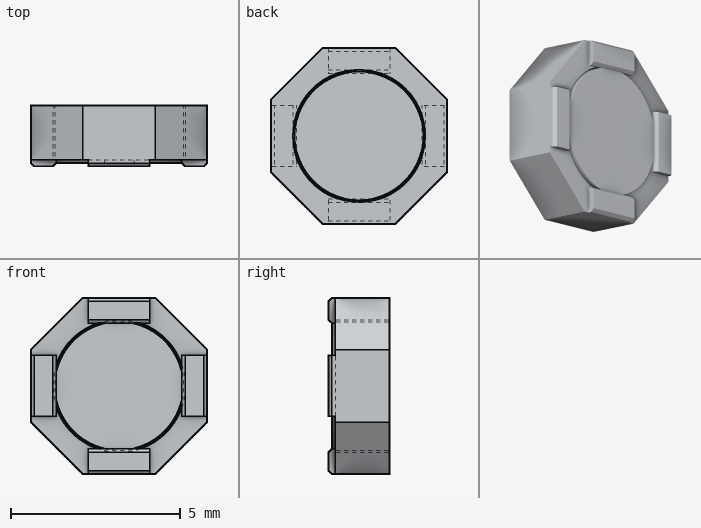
import cadquery as cq

body_width = 5.2
side_flat = 2.14
body_depth = 1.6
core_radius = 1.9
core_gap = 0.05
core_projection = 0.1
pad_length = 1.8
pad_width = 0.75
pad_height = 0.2
pad_chamfer = 0.1
pad_count = 4

corner_cut = (body_width - side_flat) / 2
bore_radius = core_radius + core_gap


def make_ring():
    """Octagonal ring with a through bore."""
    octagon = (
        cq.Workplane("XY")
        .box(body_width, body_depth, body_width, centered=(True, False, True))
        .edges("|Y")
        .chamfer(corner_cut)
    )
    bore = make_cylinder(bore_radius, 0, body_depth)
    return octagon.cut(bore)


def make_cylinder(radius, y_front, y_back):
    """Cylinder on the Y axis between two Y positions."""
    return (
        cq.Workplane("XZ", origin=(0, y_back, 0))
        .circle(radius)
        .extrude(y_back - y_front)
    )


def make_pad():
    """Pad on the +Z flat, chamfered along both long front edges."""
    pad_center_z = (body_width - pad_width) / 2
    return (
        cq.Workplane("XY")
        .box(pad_length, pad_height, pad_width)
        .faces("<Y")
        .edges("|X")
        .chamfer(pad_chamfer)
        .translate((0, -pad_height / 2, pad_center_z))
    )


ring = make_ring()
core = make_cylinder(core_radius, -core_projection, body_depth)

result = ring.union(core)
pad = make_pad()
for index in range(pad_count):
    angle = index * 360 / pad_count
    result = result.union(pad.rotate((0, 0, 0), (0, 1, 0), angle))